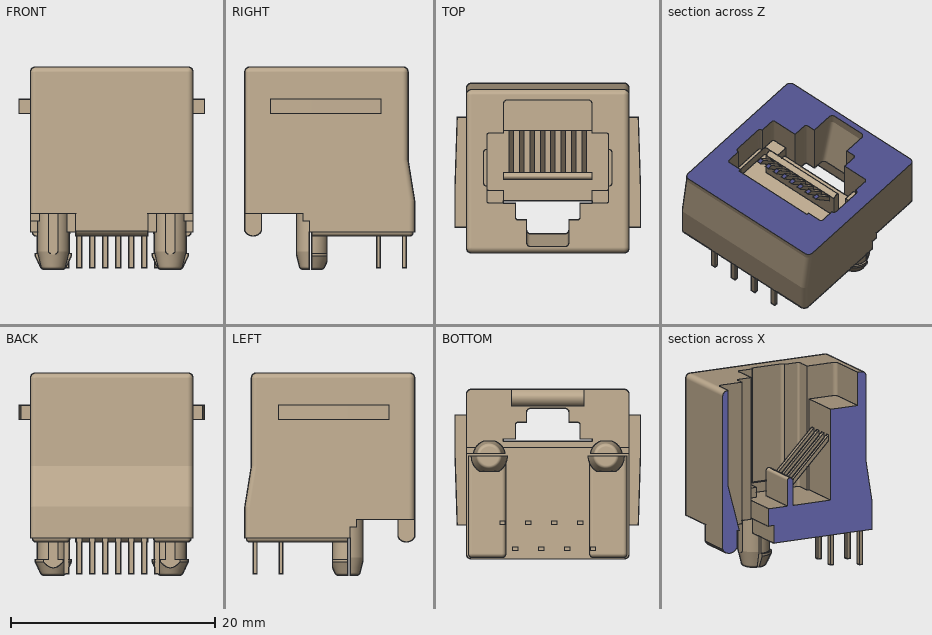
import cadquery as cq
import math


HOUSING_WIDTH = 15.94
HOUSING_DEPTH = 16.64
REAR_STEP = 0.64
HOUSING_TOP = 16.56
HOUSING_BOTTOM = 0.40
REAR_SLOPE_BOTTOM = 3.44
REAR_SLOPE_TOP = 7.42
EDGE_RADIUS = 0.53
UPPER_REAR_Y = HOUSING_DEPTH - REAR_STEP

RELIEF_Z = 2.20
RELIEF_BACK_Y = 5.72
CORNER_RELIEF_Z = 1.50
CORNER_RELIEF_BACK_Y = 6.33
CORNER_RELIEF_INNER_X = 5.72

LIP_WIDTH = 7.08
LIP_THICKNESS = 1.65
LIP_ARC_HEIGHT = 0.52

FOOT_INNER_X = 4.10
FOOT_OUTER_X = 7.76
FOOT_FRONT_Y = 6.55
FOOT_BACK_Y = 16.48
FOOT_RADIUS = 0.35

FLANGE_SPAN = 18.16
FLANGE_REAR_SPAN = 17.74
FLANGE_FRONT_Y = 2.53
FLANGE_TAPER_Y = 6.55
FLANGE_BACK_Y = 13.31
FLANGE_BOTTOM = 11.99
FLANGE_HEIGHT = 1.40

CAVITY_FLOOR = 4.00
CAVITY_WIDTH = 11.92
CAVITY_FRONT_Y = 4.90
CAVITY_BACK_Y = 11.75
CAVITY_RADIUS = 0.22
FLOOR_FRONT_Y = 5.10
SHELF_FRONT_Y = 6.12
CORNER_SHELF_Z = 5.00
NARROW_WIDTH = 8.66
REAR_SHELF_Z = 13.20
REAR_SHELF_FRONT_Y = 11.98
REAR_POCKET_BACK_Y = 15.00
REAR_POCKET_RADIUS = 0.40
SIDE_GROOVE_WIDTH = 12.54
SIDE_GROOVE_FRONT_Y = 6.55
SIDE_GROOVE_BACK_Y = 10.15
SIDE_GROOVE_RADIUS = 0.30

LATCH_WIDTH = 6.30
LATCH_FRONT_Y = 3.27
KEY_WIDTH = 4.12
KEY_FRONT_Y = 0.63
KEY_FRONT_Y_LOW = 1.90
KEY_RAMP_ANGLE = 75
KEY_RADIUS = 0.38

CONTACT_COUNT = 8
CONTACT_PITCH = 1.016
CONTACT_WIDTH = 0.44
CONTACT_THICKNESS = 0.40
CONTACT_EMBED = 0.20
CONTACT_TOP_Z = 10.50
CONTACT_ANGLE = 45
RIDGE_FRONT_Y = 7.20
RIDGE_BACK_Y = 7.90
RIDGE_REAR_Z = 6.60
RIDGE_REAR_ANGLE = 38
RIDGE_RADIUS = 0.29
PIN_PITCH = 1.27
PIN_WIDTH = 0.50
PIN_THICKNESS = 0.37
PIN_BOTTOM = -3.12
PIN_ROW_Y = (13.08, 15.62)

PEG_X = 5.72
PEG_Y = 6.56
PEG_RADIUS = 1.57
PEG_FLAT_DEPTH = 1.50
PEG_BOTTOM = -3.25
PEG_TIP_RADIUS = 1.15
PEG_NOSE_ROUNDING = 0.32
PEG_TAPER_Z = -1.55
BARB_RADIUS = 1.77
BARB_TOP = -1.70
BARB_TAPER_Z = -1.95
SLOT_FRONT_Y = 6.33
SLOT_BACK_Y = 6.55


def block(x0, x1, y0, y1, z0, z1):
    """Box between two opposite corners."""
    return cq.Workplane("XY").box(x1 - x0, y1 - y0, z1 - z0, centered=False).translate((x0, y0, z0))


def centred_block(width, y0, y1, z0, z1):
    """Box symmetric about the YZ plane."""
    return block(-width / 2, width / 2, y0, y1, z0, z1)


def both_sides(shape):
    """The shape together with its mirror image in the YZ plane."""
    return shape.union(shape.mirror("YZ"))


def make_housing():
    shell = (
        cq.Workplane("YZ")
        .moveTo(0, HOUSING_BOTTOM)
        .lineTo(HOUSING_DEPTH, HOUSING_BOTTOM)
        .lineTo(HOUSING_DEPTH, REAR_SLOPE_BOTTOM)
        .lineTo(UPPER_REAR_Y, REAR_SLOPE_TOP)
        .lineTo(UPPER_REAR_Y, HOUSING_TOP)
        .lineTo(0, HOUSING_TOP)
        .close()
        .extrude(HOUSING_WIDTH / 2, both=True)
    )
    side_edges = shell.faces("<X or >X").edges("not |Y")
    shell = side_edges.fillet(EDGE_RADIUS)
    return shell.faces(">Z").edges().fillet(EDGE_RADIUS)


def cut_underside(body):
    body = body.cut(centred_block(HOUSING_WIDTH, 0, RELIEF_BACK_Y, HOUSING_BOTTOM, RELIEF_Z))
    notch = block(
        CORNER_RELIEF_INNER_X, HOUSING_WIDTH / 2,
        RELIEF_BACK_Y, CORNER_RELIEF_BACK_Y,
        HOUSING_BOTTOM, CORNER_RELIEF_Z,
    )
    return body.cut(both_sides(notch))


def make_lip():
    return (
        cq.Workplane("YZ")
        .moveTo(0, RELIEF_Z)
        .lineTo(0, LIP_ARC_HEIGHT)
        .threePointArc((LIP_THICKNESS / 2, 0), (LIP_THICKNESS, LIP_ARC_HEIGHT))
        .lineTo(LIP_THICKNESS, RELIEF_Z)
        .close()
        .extrude(LIP_WIDTH / 2, both=True)
    )


def make_feet():
    foot = block(FOOT_INNER_X, FOOT_OUTER_X, FOOT_FRONT_Y, FOOT_BACK_Y, 0, HOUSING_BOTTOM)
    foot = foot.faces(">Y").edges("|Z").fillet(FOOT_RADIUS)
    foot = foot.faces("<Z").edges("not <Y").fillet(FOOT_RADIUS)
    return both_sides(foot)


def make_flanges():
    half_span = FLANGE_SPAN / 2
    flange = (
        cq.Workplane("XY", origin=(0, 0, FLANGE_BOTTOM))
        .moveTo(HOUSING_WIDTH / 2 - EDGE_RADIUS, FLANGE_FRONT_Y)
        .lineTo(half_span, FLANGE_FRONT_Y)
        .lineTo(half_span, FLANGE_TAPER_Y)
        .lineTo(FLANGE_REAR_SPAN / 2, FLANGE_BACK_Y)
        .lineTo(HOUSING_WIDTH / 2 - EDGE_RADIUS, FLANGE_BACK_Y)
        .close()
        .extrude(FLANGE_HEIGHT)
    )
    return both_sides(flange)


def make_keyway():
    """Latch opening whose front wall ends in a steep ramp toward the underside."""
    latch = centred_block(LATCH_WIDTH, LATCH_FRONT_Y, FLOOR_FRONT_Y, RELIEF_Z, HOUSING_TOP)
    latch = latch.faces("<Y").edges("|Z").fillet(CAVITY_RADIUS)
    ramp_top = RELIEF_Z + (KEY_FRONT_Y_LOW - KEY_FRONT_Y) * math.tan(math.radians(KEY_RAMP_ANGLE))
    key = (
        cq.Workplane("YZ")
        .moveTo(KEY_FRONT_Y_LOW, RELIEF_Z)
        .lineTo(FLOOR_FRONT_Y, RELIEF_Z)
        .lineTo(FLOOR_FRONT_Y, HOUSING_TOP)
        .lineTo(KEY_FRONT_Y, HOUSING_TOP)
        .lineTo(KEY_FRONT_Y, ramp_top)
        .close()
        .extrude(KEY_WIDTH / 2, both=True)
    )
    ramp_edges = key.edges("not (|X or |Y or |Z)").vals()
    wall_edges = key.faces("<Y").edges("|Z").vals()
    key = key.newObject(ramp_edges + wall_edges).fillet(KEY_RADIUS)
    return latch.union(key)


def make_cavity():
    """Everything removed from above: plug opening, rear pocket, side grooves and keyway."""
    upper = centred_block(CAVITY_WIDTH, CAVITY_FRONT_Y, CAVITY_BACK_Y, CORNER_SHELF_Z, HOUSING_TOP)
    upper = upper.edges("|Z").fillet(CAVITY_RADIUS)
    lower = centred_block(CAVITY_WIDTH, SHELF_FRONT_Y, CAVITY_BACK_Y, CAVITY_FLOOR, HOUSING_TOP)
    lower = lower.edges("|Z").fillet(CAVITY_RADIUS)
    middle = centred_block(NARROW_WIDTH, CAVITY_FRONT_Y, REAR_SHELF_FRONT_Y, CAVITY_FLOOR, HOUSING_TOP)
    opening = centred_block(NARROW_WIDTH, CAVITY_FRONT_Y, FLOOR_FRONT_Y, RELIEF_Z, HOUSING_TOP)
    rear = centred_block(NARROW_WIDTH, CAVITY_BACK_Y, REAR_POCKET_BACK_Y, REAR_SHELF_Z, HOUSING_TOP)
    rear = rear.faces(">Y").edges("|Z").fillet(REAR_POCKET_RADIUS)
    grooves = centred_block(
        SIDE_GROOVE_WIDTH, SIDE_GROOVE_FRONT_Y, SIDE_GROOVE_BACK_Y, CORNER_SHELF_Z, HOUSING_TOP
    )
    grooves = grooves.edges("|Z").fillet(SIDE_GROOVE_RADIUS)
    cavity = upper
    for pocket in (lower, middle, opening, rear, grooves, make_keyway()):
        cavity = cavity.union(pocket)
    return cavity


def make_ridge():
    """Ridge across the cavity floor: a sloped rear shoulder running into a round nose."""
    angle = math.radians(RIDGE_REAR_ANGLE)
    centre_y = RIDGE_FRONT_Y + RIDGE_RADIUS
    tangent_y = centre_y + RIDGE_RADIUS * math.sin(angle)
    tangent_z = RIDGE_REAR_Z + (RIDGE_BACK_Y - tangent_y) * math.tan(angle)
    centre_z = tangent_z - RIDGE_RADIUS * math.cos(angle)
    return (
        cq.Workplane("YZ")
        .moveTo(RIDGE_FRONT_Y, CAVITY_FLOOR)
        .lineTo(RIDGE_BACK_Y, CAVITY_FLOOR)
        .lineTo(RIDGE_BACK_Y, RIDGE_REAR_Z)
        .lineTo(tangent_y, tangent_z)
        .threePointArc((centre_y, centre_z + RIDGE_RADIUS), (RIDGE_FRONT_Y, centre_z))
        .close()
        .extrude(NARROW_WIDTH / 2, both=True)
    )


def make_contacts():
    """Spring contacts slanting from the rear wall down into the ridge."""
    angle = math.radians(CONTACT_ANGLE)
    slope = math.tan(angle)
    vertical_thickness = CONTACT_THICKNESS / math.cos(angle)
    front_y = RIDGE_BACK_Y - CONTACT_EMBED
    back_y = REAR_SHELF_FRONT_Y + CONTACT_EMBED
    back_z = CONTACT_TOP_Z + CONTACT_EMBED * slope
    front_z = back_z - (back_y - front_y) * slope
    contacts = cq.Workplane("XY")
    for index in range(CONTACT_COUNT):
        x = (index - (CONTACT_COUNT - 1) / 2) * CONTACT_PITCH
        contact = (
            cq.Workplane("YZ", origin=(x, 0, 0))
            .moveTo(front_y, front_z)
            .lineTo(back_y, back_z)
            .lineTo(back_y, back_z - vertical_thickness)
            .lineTo(front_y, front_z - vertical_thickness)
            .close()
            .extrude(CONTACT_WIDTH / 2, both=True)
        )
        contacts = contacts.union(contact)
    return contacts


def make_pins():
    pins = cq.Workplane("XY")
    for index in range(CONTACT_COUNT):
        x = (index - (CONTACT_COUNT - 1) / 2) * PIN_PITCH
        y = PIN_ROW_Y[index % 2]
        pin = centred_block(
            PIN_WIDTH, y - PIN_THICKNESS / 2, y + PIN_THICKNESS / 2, PIN_BOTTOM, HOUSING_BOTTOM
        )
        pins = pins.union(pin.translate((x, 0, 0)))
    return pins


def revolve_peg(outline):
    """Revolve (radius, z) points about the peg axis, round the nose and trim the flats."""
    solid = (
        cq.Workplane("XZ")
        .polyline(outline)
        .close()
        .revolve(360, (0, 0, 0), (0, 1, 0))
    )
    solid = solid.faces("<Z").edges().fillet(PEG_NOSE_ROUNDING)
    flats = centred_block(2 * BARB_RADIUS, -PEG_FLAT_DEPTH, PEG_FLAT_DEPTH, PEG_BOTTOM, RELIEF_Z)
    return solid.intersect(flats).translate((PEG_X, PEG_Y, 0))


def make_pegs():
    """Split board pegs: plain front half, barbed rear half."""
    nose = [(PEG_TIP_RADIUS, PEG_BOTTOM), (0, PEG_BOTTOM)]
    shank = [(0, RELIEF_Z), (PEG_RADIUS, RELIEF_Z)]
    plain = revolve_peg(shank + [(PEG_RADIUS, PEG_TAPER_Z)] + nose)
    barb = [(PEG_RADIUS, BARB_TOP), (BARB_RADIUS, BARB_TOP), (BARB_RADIUS, BARB_TAPER_Z)]
    barbed = revolve_peg(shank + barb + nose)

    reach = 2 * BARB_RADIUS
    left_x = PEG_X - reach
    right_x = PEG_X + reach
    front_zone = block(left_x, right_x, PEG_Y - reach, SLOT_FRONT_Y, PEG_BOTTOM, RELIEF_Z)
    rear_zone = block(left_x, right_x, SLOT_BACK_Y, PEG_Y + reach, PEG_BOTTOM, RELIEF_Z)
    return both_sides(plain.intersect(front_zone).union(barbed.intersect(rear_zone)))


body = cut_underside(make_housing())
for feature in (make_lip(), make_feet(), make_flanges(), make_pegs()):
    body = body.union(feature)
body = body.cut(make_cavity())
for feature in (make_ridge(), make_contacts(), make_pins()):
    body = body.union(feature)

result = body